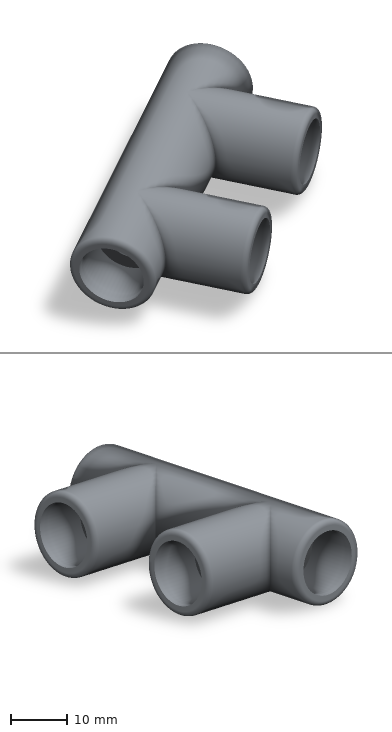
import cadquery as cq

run_length = 58.0
pipe_diameter = 16.0
rim_fillet = 1.0

overall_width = 31.0
branch_reach = overall_width - pipe_diameter / 2
branch_spacing = run_length / 2

socket_diameter = 12.0
socket_depth = 10.0
run_passage_diameter = 7.0
branch_passage_diameter = 6.0

branch_positions = [-branch_spacing / 2, branch_spacing / 2]


def cylinder_y(diameter, y_start, y_end):
    """Solid cylinder on the run axis between two Y positions."""
    axis = cq.Vector(0, 1, 0)
    start = cq.Vector(0, y_start, 0)
    return cq.Workplane(cq.Solid.makeCylinder(diameter / 2, y_end - y_start, start, axis))


def cylinder_x(diameter, x_start, x_end, y):
    """Solid cylinder parallel to X, centred at the given Y."""
    axis = cq.Vector(1, 0, 0)
    start = cq.Vector(x_start, y, 0)
    return cq.Workplane(cq.Solid.makeCylinder(diameter / 2, x_end - x_start, start, axis))


run_end = run_length / 2
body = cylinder_y(pipe_diameter, -run_end, run_end).faces("<Y or >Y").edges().fillet(rim_fillet)
for y in branch_positions:
    branch = cylinder_x(pipe_diameter, 0, branch_reach, y).faces(">X").edges().fillet(rim_fillet)
    body = body.union(branch)

body = body.cut(cylinder_y(run_passage_diameter, -run_end, run_end))
body = body.cut(cylinder_y(socket_diameter, -run_end, -run_end + socket_depth))
body = body.cut(cylinder_y(socket_diameter, run_end - socket_depth, run_end))

for y in branch_positions:
    body = body.cut(cylinder_x(branch_passage_diameter, 0, branch_reach, y))
    body = body.cut(cylinder_x(socket_diameter, branch_reach - socket_depth, branch_reach, y))

result = body